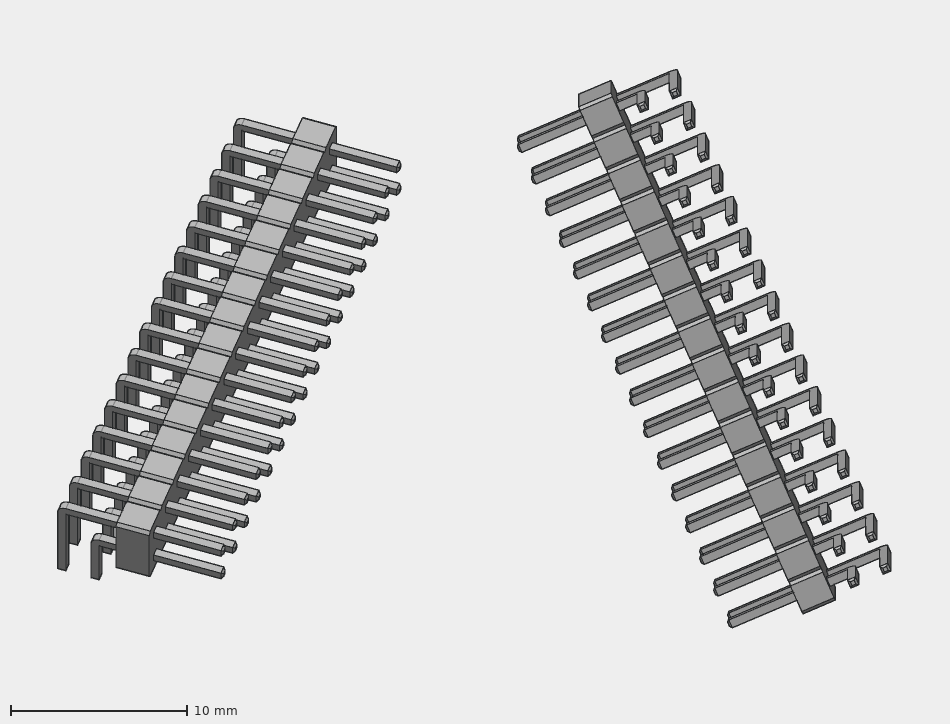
import cadquery as cq

pin_count = 16
row_length = 32.0
overall_height = 6.4
overall_width = 9.95
body_offset = 3.78
notch_depth = 0.2
tip_chamfer = 0.13

pitch = row_length / pin_count
body_width = pitch
body_height = 2 * pitch
pin_size = pitch / 4
body_left = -body_width / 2
bend_radius = pin_size
leg_left = body_left - body_offset
plug_tip = leg_left + overall_width
leg_tip = body_height / 2 - overall_height


def segment_center(index):
    """Y position of a pin pair and of its body segment."""
    return (index - (pin_count - 1) / 2) * pitch


def body_segment(index):
    """One block of the body, its edges along X chamfered to form the notches."""
    return (
        cq.Workplane("XY")
        .box(body_width, pitch, body_height)
        .edges("|X")
        .chamfer(notch_depth)
        .translate((0, segment_center(index), 0))
    )


def bent_pin(row_z, outer_x):
    """Right-angle pin centred on Y = 0: a plug arm along X and a leg going down."""
    arm_top = row_z + pin_size / 2
    arm_bottom = arm_top - pin_size
    inner_x = outer_x + pin_size
    pin = (
        cq.Workplane("XZ")
        .moveTo(inner_x, arm_bottom)
        .lineTo(inner_x, leg_tip)
        .lineTo(outer_x, leg_tip)
        .lineTo(outer_x, arm_bottom)
        .radiusArc((inner_x, arm_top), bend_radius)
        .lineTo(plug_tip, arm_top)
        .lineTo(plug_tip, arm_bottom)
        .close()
        .extrude(pin_size / 2, both=True)
    )
    return pin.faces(">X or <Z").chamfer(tip_chamfer)


upper_pin = bent_pin(pitch / 2, leg_left)
lower_pin = bent_pin(-pitch / 2, leg_left + pitch)

result = body_segment(0)
for index in range(1, pin_count):
    result = result.union(body_segment(index))

for index in range(pin_count):
    for pin in (upper_pin, lower_pin):
        result = result.union(pin.translate((0, segment_center(index), 0)))